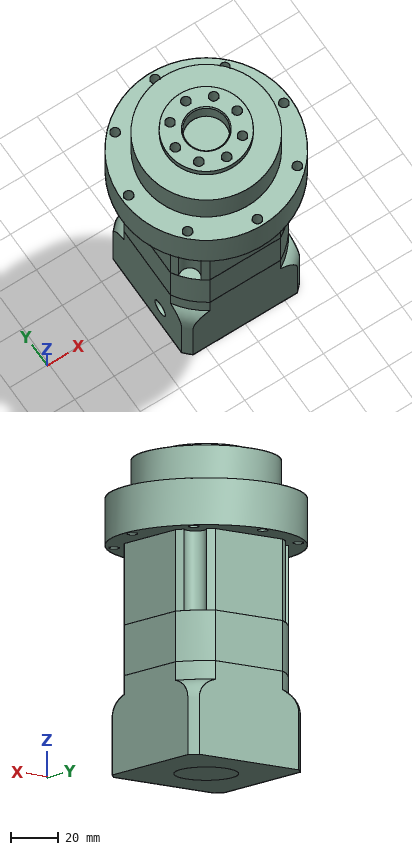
import cadquery as cq
import math

body_width = 60.0
body_corner_dia = 69.9
foot_corner_dia = 80.0

foot_top = 25.0
adapter_top = 41.7
spacer_top = 63.7
flange_bottom = 99.0
flange_top = 119.3
pilot_top = 135.8
overall_height = 139.0

shoulder_radius = 9.9
hub_dia = 27.5
access_hole_dia = 8.0
access_hole_y = -10.0
access_hole_z = 15.0

flange_dia = 86.0
pilot_dia = 64.0
output_dia = 40.0
flange_hole_dia = 4.5
flange_hole_circle = 79.0
groove_radius = 4.9
groove_offset = 24.6

bore_dia = 20.0
bore_depth = 8.3
bore_chamfer = 0.5
output_hole_dia = 4.5
output_hole_circle = 31.4
output_hole_depth = 9.7
drill_point_angle = 118

hole_count = 8


def disc(diameter, bottom, top):
    """Cylinder about the Z axis between two heights."""
    return cq.Workplane("XY").workplane(offset=bottom).circle(diameter / 2).extrude(top - bottom)


def square_bar(bottom, top):
    """Sharp-cornered square bar of the body width between two heights."""
    return (
        cq.Workplane("XY")
        .workplane(offset=bottom)
        .rect(body_width, body_width)
        .extrude(top - bottom)
    )


def rounded_bar(bottom, top):
    """Square bar with its corners rounded by the body corner circle."""
    return square_bar(bottom, top).intersect(disc(body_corner_dia, bottom, top))


def corner_envelope():
    """Revolved shape that rounds the adapter corners and forms the shoulders above the foot."""
    foot_radius = foot_corner_dia / 2
    neck_radius = body_corner_dia / 2
    arc_center_r = foot_radius - shoulder_radius
    neck_angle = math.acos((neck_radius - arc_center_r) / shoulder_radius)

    def arc_point(angle):
        return (
            arc_center_r + shoulder_radius * math.cos(angle),
            foot_top + shoulder_radius * math.sin(angle),
        )

    return (
        cq.Workplane("XZ")
        .lineTo(foot_radius, 0)
        .lineTo(foot_radius, foot_top)
        .threePointArc(arc_point(neck_angle / 2), arc_point(neck_angle))
        .lineTo(neck_radius, adapter_top)
        .lineTo(0, adapter_top)
        .close()
        .revolve(360, (0, 0), (0, 1))
    )


def make_adapter():
    """Motor adapter with a through bore for the hub and a clamp access hole in its -X side."""
    bar = square_bar(0, adapter_top).intersect(corner_envelope())
    hub_bore = disc(hub_dia, 0, adapter_top)
    access_hole = (
        cq.Workplane("YZ")
        .center(access_hole_y, access_hole_z)
        .circle(access_hole_dia / 2)
        .extrude(-body_width / 2)
    )
    return bar.cut(hub_bore).cut(access_hole)


def make_hub():
    """Input hub filling the bore of the adapter."""
    return disc(hub_dia, 0, adapter_top)


def make_spacer():
    """Plain section between the adapter and the housing."""
    return rounded_bar(adapter_top, spacer_top)


def corner_grooves():
    """Vertical grooves along the four corners, giving room for the flange screws."""
    return (
        cq.Workplane("XY")
        .workplane(offset=spacer_top)
        .rect(2 * groove_offset, 2 * groove_offset, forConstruction=True)
        .vertices()
        .circle(groove_radius)
        .extrude(flange_bottom - spacer_top)
    )


def flange_holes():
    """Through holes around the rim of the flange."""
    return (
        cq.Workplane("XY")
        .workplane(offset=flange_bottom)
        .polarArray(flange_hole_circle / 2, 0, 360, hole_count)
        .circle(flange_hole_dia / 2)
        .extrude(flange_top - flange_bottom)
    )


def output_bore():
    """Blind centre bore of the output face, with a chamfered rim."""
    rim_radius = bore_dia / 2 + bore_chamfer
    bore = disc(bore_dia, overall_height - bore_depth, overall_height)
    rim = (
        cq.Workplane("XY")
        .workplane(offset=overall_height)
        .circle(rim_radius)
        .workplane(offset=-bore_chamfer)
        .circle(bore_dia / 2)
        .loft()
    )
    return bore.union(rim)


def output_holes():
    """Blind drilled holes with conical bottoms around the output bore."""
    radius = output_hole_dia / 2
    point_depth = radius / math.tan(math.radians(drill_point_angle / 2))
    drill = (
        cq.Workplane("XZ")
        .moveTo(0, overall_height)
        .lineTo(radius, overall_height)
        .lineTo(radius, overall_height - output_hole_depth)
        .lineTo(0, overall_height - output_hole_depth - point_depth)
        .close()
        .revolve(360, (0, 0), (0, 1))
        .translate((output_hole_circle / 2, 0, 0))
    )
    holes = cq.Workplane("XY")
    for index in range(hole_count):
        holes = holes.add(drill.rotate((0, 0, 0), (0, 0, 1), index * 360 / hole_count))
    return holes.combine()


def make_housing():
    """Grooved square section, screw flange, pilot and output face."""
    barrel = rounded_bar(spacer_top, flange_bottom).cut(corner_grooves())
    flange = disc(flange_dia, flange_bottom, flange_top).cut(flange_holes())
    pilot = disc(pilot_dia, flange_top, pilot_top)
    output_face = disc(output_dia, pilot_top, overall_height)
    housing = barrel.union(flange).union(pilot).union(output_face)
    return housing.cut(output_bore()).cut(output_holes())


adapter = make_adapter()
hub = make_hub()
spacer = make_spacer()
housing = make_housing()

result = cq.Compound.makeCompound([adapter.val(), hub.val(), spacer.val(), housing.val()])